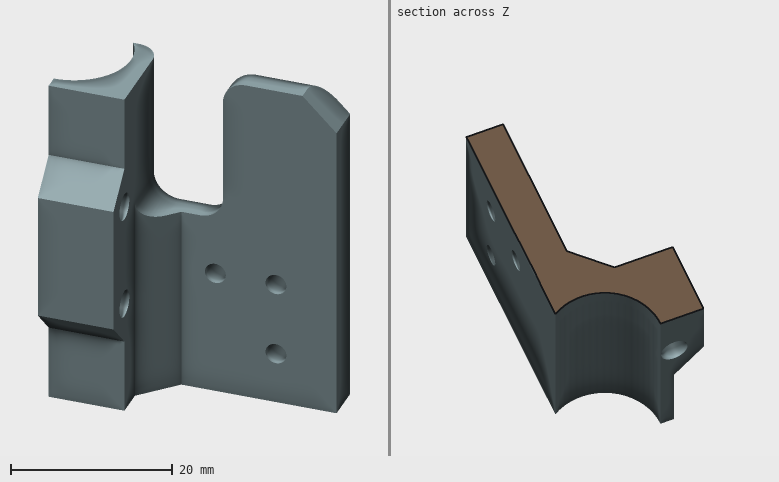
import cadquery as cq
import math

width = 35.0
height = 45.0
depth = 17.35

plate_thickness = 5.0
block_width = 10.0
web_leg = 4.5
cradle_radius = 7.5
cradle_center_y = -4.0

ear_projection = 4.0
ear_bottom = 10.0
ear_top = 35.0
clamp_hole_diameter = 3.6
clamp_hole_heights = (15.5, 29.5)

slot_width = 10.0
slot_floor = 25.0
corner_radius = 3.0
plate_chamfer = 4.5

mount_hole_diameter = 2.75
mount_hole_places = ((19.0, 17.0), (27.0, 17.0), (27.0, 7.0))

block_front = -(depth - ear_projection)
slot_end = block_width + slot_width
selection_margin = 1.0


def make_profile():
    """Full-height extrusion of block, cradle, web and plate."""
    cradle_front = cradle_center_y - cradle_radius
    cradle_back_x = math.sqrt(cradle_radius**2 - cradle_center_y**2)
    return (
        cq.Workplane("XY")
        .moveTo(0, block_front)
        .lineTo(block_width, block_front)
        .lineTo(block_width, -plate_thickness - web_leg)
        .lineTo(block_width + web_leg, -plate_thickness)
        .lineTo(width, -plate_thickness)
        .lineTo(width, 0)
        .lineTo(cradle_back_x, 0)
        .threePointArc((cradle_radius, cradle_center_y), (0, cradle_front))
        .close()
        .extrude(height)
    )


def make_ear():
    """Trapezoidal ear across the full width of the block."""
    return (
        cq.Workplane("YZ")
        .moveTo(block_front, ear_bottom)
        .lineTo(-depth, ear_bottom + ear_projection)
        .lineTo(-depth, ear_top - ear_projection)
        .lineTo(block_front, ear_top)
        .close()
        .extrude(block_width)
    )


def cut_slot(body):
    """Cut the slot, round its floor corners and the plate's top corner."""
    slot = (
        cq.Workplane("XZ")
        .moveTo(block_width, height)
        .lineTo(block_width, slot_floor + corner_radius)
        .radiusArc((block_width + corner_radius, slot_floor), -corner_radius)
        .lineTo(slot_end - corner_radius, slot_floor)
        .radiusArc((slot_end, slot_floor + corner_radius), -corner_radius)
        .lineTo(slot_end, height - corner_radius)
        .radiusArc((slot_end + corner_radius, height), corner_radius)
        .close()
        .extrude(depth)
    )
    return body.cut(slot)


def round_back_edge(body):
    """Round the back edge that runs along the slot and over the top of the plate."""
    edge_region = cq.selectors.BoxSelector(
        (block_width - selection_margin, -selection_margin, slot_floor - selection_margin),
        (width - selection_margin, selection_margin, height + selection_margin),
    )
    return body.faces(">Y").edges(edge_region).fillet(corner_radius)


def chamfer_plate(body):
    """Cut the plate's top outer corner at 45 degrees."""
    corner = (
        cq.Workplane("XZ")
        .moveTo(width - plate_chamfer, height)
        .lineTo(width, height)
        .lineTo(width, height - plate_chamfer)
        .close()
        .extrude(plate_thickness)
    )
    return body.cut(corner)


def drill_holes(body):
    """Drill the mounting holes along Y and the clamp holes along X."""
    mount_holes = (
        cq.Workplane("XZ")
        .pushPoints(mount_hole_places)
        .circle(mount_hole_diameter / 2)
        .extrude(plate_thickness)
    )
    clamp_holes = (
        cq.Workplane("YZ")
        .pushPoints([(block_front, z) for z in clamp_hole_heights])
        .circle(clamp_hole_diameter / 2)
        .extrude(block_width)
    )
    return body.cut(mount_holes).cut(clamp_holes)


body = make_profile().union(make_ear())
body = cut_slot(body)
body = round_back_edge(body)
body = chamfer_plate(body)
result = drill_holes(body)